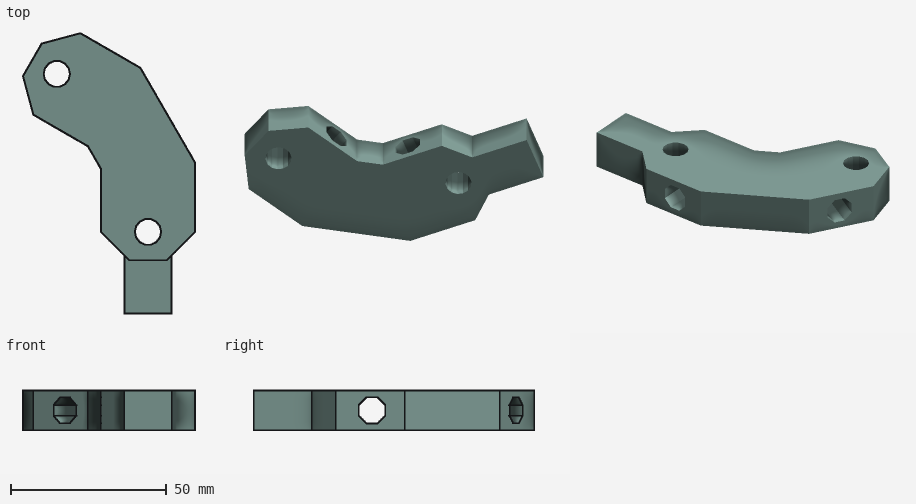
import cadquery as cq
import math

total_width = 55.3
total_length = 90.1
thickness = 12.9

arm_width = 30.3
bend_angle = 60.0
pivot_spacing = 58.6
pivot_to_tip = 9.1
inner_flat = 8.4
outer_flat = 35.1

pivot_across_corners = 8.4
pivot_sides = 14
cross_flats = 8.4
cross_offset = 11.7
cross_sides = 8

half_arm = arm_width / 2
tang_width = arm_width / 2
tip_half_width = half_arm - pivot_to_tip
half_bend = math.radians(bend_angle / 2)
chord_x = -math.sin(half_bend)
chord_y = math.cos(half_bend)
upper_corner_rise = pivot_spacing * chord_y + half_arm * math.sin(math.radians(bend_angle))
pivot_x = total_width - half_arm
pivot_y = total_length - upper_corner_rise


def bend_corner(side, flat_length):
    """Point, relative to the lower pivot, where an arm side meets a flat of the bend."""
    x = side * half_arm
    along_chord = (pivot_spacing - flat_length) / 2
    return (x, (along_chord - x * chord_x) / chord_y)


def mirror_across_bend(point):
    """Carry a point of the lower arm, relative to the lower pivot, to the upper arm."""
    x, y = point
    shift = pivot_spacing - 2 * (x * chord_x + y * chord_y)
    return (x + shift * chord_x, y + shift * chord_y)


def make_plate_blank():
    lower_arm = [
        bend_corner(-1, inner_flat),
        (-half_arm, 0),
        (-tip_half_width, -pivot_to_tip),
        (tip_half_width, -pivot_to_tip),
        (half_arm, 0),
        bend_corner(1, outer_flat),
    ]
    upper_arm = [mirror_across_bend(point) for point in reversed(lower_arm)]
    outline = cq.Workplane("XY").polyline(lower_arm + upper_arm).close()
    return outline.extrude(thickness).translate((pivot_x, pivot_y, 0))


def make_pivot_hole(center):
    """Upright many-sided prism with one corner pointing along +X."""
    prism = cq.Workplane("XY").polygon(pivot_sides, pivot_across_corners).extrude(thickness)
    return prism.translate((pivot_x + center[0], pivot_y + center[1], 0))


def make_cross_hole(center, turn):
    """Octagonal prism, flat side down, running across an arm turned about Z."""
    prism = (
        cq.Workplane("YZ")
        .polygon(cross_sides, cross_flats, circumscribed=True)
        .extrude(arm_width, both=True)
        .rotate((0, 0, 0), (0, 0, 1), turn)
    )
    return prism.translate((pivot_x + center[0], pivot_y + center[1], thickness / 2))


def make_plate(blank):
    lower_pivot = (0, 0)
    lower_cross = (0, cross_offset)
    return (
        blank
        .cut(make_pivot_hole(lower_pivot))
        .cut(make_cross_hole(lower_cross, 0))
        .cut(make_pivot_hole(mirror_across_bend(lower_pivot)))
        .cut(make_cross_hole(mirror_across_bend(lower_cross), bend_angle))
    )


def make_tang(blank):
    """Square-ended bar whose inner end is notched to fit the plate's tip."""
    bar = cq.Workplane("XY").box(tang_width, pivot_y, thickness, centered=(True, False, False))
    return bar.translate((pivot_x, 0, 0)).cut(blank)


plate_blank = make_plate_blank()
plate = make_plate(plate_blank)
tang = make_tang(plate_blank)

result = cq.Compound.makeCompound([*plate.solids().vals(), *tang.solids().vals()])